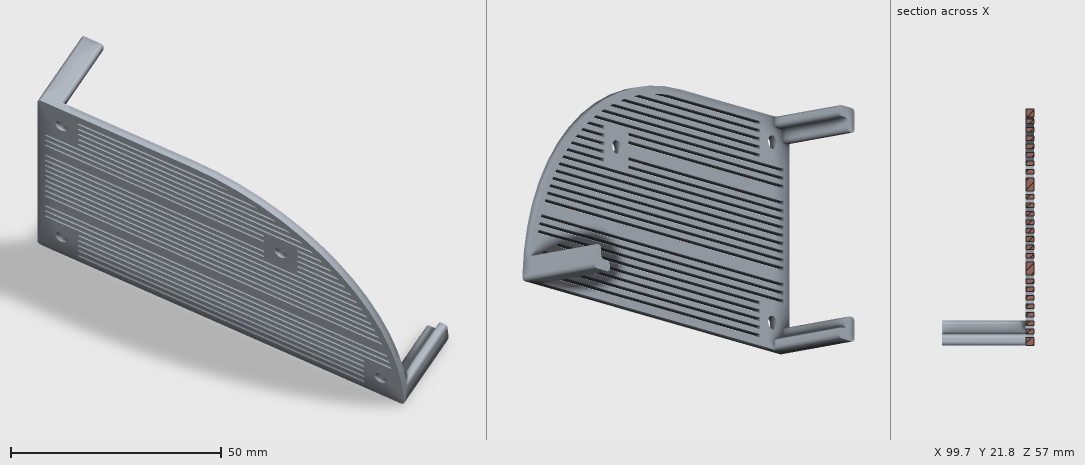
import cadquery as cq
import math

length = 99.7
height = 57.0
depth = 21.8
plate_thickness = 2.0
edge_radius = 1.0

arc_radius = 58.1
arc_center_z = height - arc_radius
arc_center_x = length - math.sqrt(arc_radius**2 - (edge_radius - arc_center_z) ** 2)

post_leg = 6.0
post_wall = 2.7

hole_diameter = 3.3
hole_inset = 6.5
middle_hole = (66.1, 38.5)
corner_holes = [
    (hole_inset, hole_inset),
    (length - hole_inset, hole_inset),
    (hole_inset, height - hole_inset),
]

rim = 2.0
slot_height = 0.8
slot_count = 27
top_rim = 2.2
slot_pitch = (height - rim - top_rim - slot_height) / (slot_count - 1)
pad_half_width = 4.5
lower_pad_slots = range(0, 5)
solid_row = 8
middle_pad_slots = range(16, 21)
hole_row = 18
upper_pad_slots = range(22, slot_count)


def front_plane():
    """Sketch plane on the front face; extruding goes towards +Y."""
    return cq.Workplane(cq.Plane(origin=(0, 0, 0), xDir=(1, 0, 0), normal=(0, -1, 0)))


def outline(inset, thickness):
    """Solid with the plate outline moved inwards by inset, corners sharp."""
    radius = arc_radius - inset
    bottom = inset
    top = height - inset
    right = arc_center_x + math.sqrt(radius**2 - (bottom - arc_center_z) ** 2)
    middle = radius * math.sqrt(0.5)
    return (
        front_plane()
        .moveTo(inset, bottom)
        .lineTo(inset, top)
        .lineTo(arc_center_x, top)
        .threePointArc((arc_center_x + middle, arc_center_z + middle), (right, bottom))
        .close()
        .extrude(-thickness)
    )


def rounded_plate():
    """Plate with its two left corners and its lower right corner rounded."""
    corners = "|Y and (<X or >X)"
    return outline(0, plate_thickness).edges(corners).fillet(edge_radius)


def post(corner_x, corner_z, toward_x, toward_z):
    """L-section post whose legs run from a plate corner along X and Z."""
    section = [
        (0, 0),
        (post_leg, 0),
        (post_leg, post_wall),
        (post_wall, post_wall),
        (post_wall, post_leg),
        (0, post_leg),
    ]
    points = [(corner_x + toward_x * u, corner_z + toward_z * v) for u, v in section]
    return front_plane().polyline(points).close().extrude(-depth)


def rounded_post(corner_x, corner_z, toward_x, toward_z):
    """Post trimmed to the plate outline, with every long edge rounded."""
    trimmed = post(corner_x, corner_z, toward_x, toward_z).intersect(outline(0, depth))
    return trimmed.edges("|Y").fillet(edge_radius)


def slot_spans(row):
    """Start and end in X of the slots in one row; the arc trims long ends."""
    pad_edge = hole_inset + pad_half_width
    pad_left = middle_hole[0] - pad_half_width
    pad_right = middle_hole[0] + pad_half_width
    if row == solid_row:
        return []
    if row in lower_pad_slots:
        return [(pad_edge, length - pad_edge)]
    if row == hole_row:
        return [(pad_right, length)]
    if row in middle_pad_slots:
        return [(rim, pad_left), (pad_right, length)]
    if row in upper_pad_slots:
        return [(pad_edge, length)]
    return [(rim, length)]


def slots():
    """All slot cutters, limited to the field inside the rim."""
    cutters = front_plane()
    for row in range(slot_count):
        center_z = rim + slot_height / 2 + row * slot_pitch
        for start, end in slot_spans(row):
            cutters = cutters.moveTo((start + end) / 2, center_z).rect(end - start, slot_height)
    return cutters.extrude(-plate_thickness).intersect(outline(rim, plate_thickness))


def holes():
    """Screw hole cutters through the plate."""
    return (
        front_plane()
        .pushPoints(corner_holes + [middle_hole])
        .circle(hole_diameter / 2)
        .extrude(-plate_thickness)
    )


plate = rounded_plate().cut(slots()).cut(holes())
result = (
    plate
    .union(rounded_post(0, 0, 1, 1))
    .union(rounded_post(0, height, 1, -1))
    .union(rounded_post(length, 0, -1, 1))
)